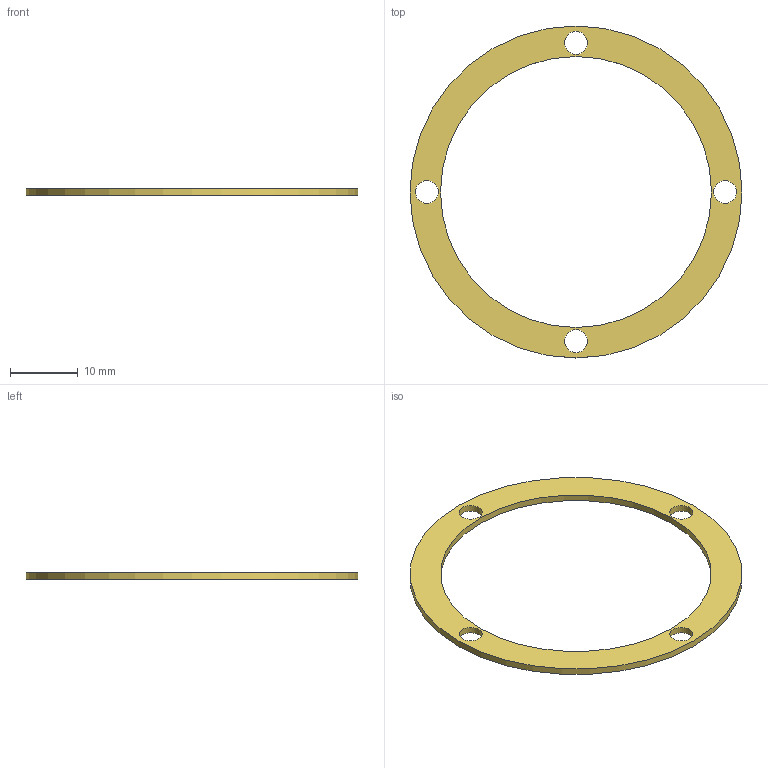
import cadquery as cq

outer_diameter = 49.0
inner_diameter = 40.0
thickness = 1.0

hole_count = 4
hole_diameter = 3.4
hole_circle_diameter = 44.0


def make_ring():
    """Plain flat ring without holes."""
    return (
        cq.Workplane("XY")
        .circle(outer_diameter / 2)
        .circle(inner_diameter / 2)
        .extrude(thickness)
    )


def make_holes():
    """Cylinders that cut the through holes."""
    return (
        cq.Workplane("XY")
        .polarArray(hole_circle_diameter / 2, 0, 360, hole_count)
        .circle(hole_diameter / 2)
        .extrude(thickness)
    )


result = make_ring().cut(make_holes())